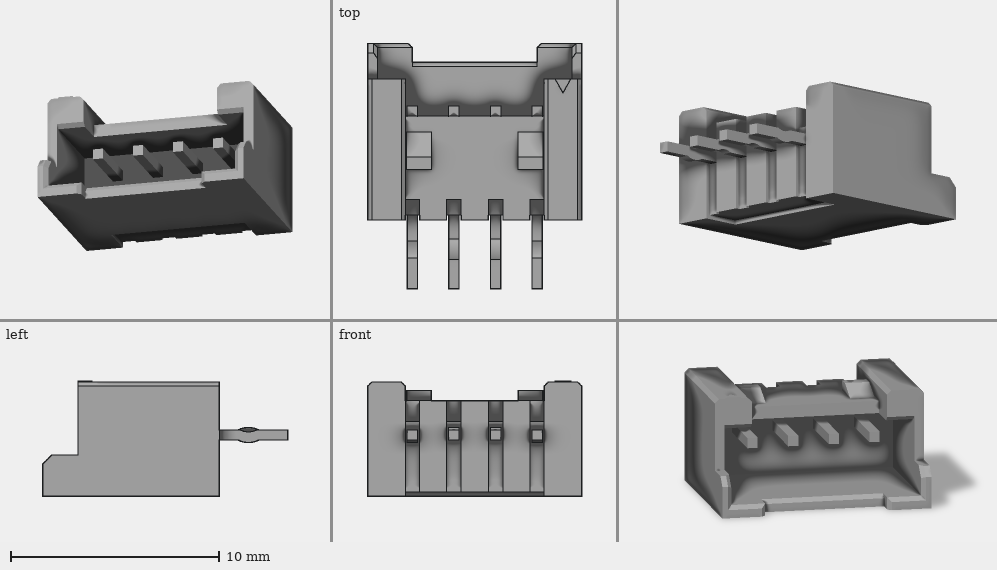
import cadquery as cq


width = 10.3
depth = 8.5
height = 5.5
wing_depth = 6.8
wing_inner_x = 3.33
body_height = 4.6
body_depth = 5.0
lip_height = 2.0
lip_bevel = 0.45
edge_chamfer = 0.2

cavity_half_width = 4.67
cavity_floor = 0.6
cavity_ceiling = 4.0
back_wall = 2.0
bottom_relief = 0.2

recess_half_width = 3.0
recess_front_y = 7.6

pin_count = 4
pitch = 2.0
pin_size = 0.5
pin_z = 2.95
pin_tip_y = 5.5
pin_tail_y = -3.3
kink_y = -1.4
convex_length = 0.98
convex_rise = 0.12
concave_length = 0.82
concave_depth = 0.1
notch_width = 0.7
notch_depth = 0.25
upper_notch_depth = 1.0
notch_ledge_z = 3.6

ramp_width = 1.2
ramp_outer_x = 3.28
ramp_height = 0.5
ramp_rear_y = 2.45
ramp_crest_y = 3.05
ramp_front_y = 4.25

mark_width = 0.76
mark_length = 0.68
mark_height = 0.05

half_width = width / 2
pin_positions = [(i - (pin_count - 1) / 2) * pitch for i in range(pin_count)]


def block(x_range, y_range, z_range):
    """Box spanning the given (low, high) ranges."""
    size = [high - low for low, high in (x_range, y_range, z_range)]
    corner = (x_range[0], y_range[0], z_range[0])
    return cq.Workplane("XY").box(*size, centered=False).translate(corner)


def yz_prism(points, x_low, x_high):
    """Prism with a (y, z) polygon as its section, spanning x_low to x_high."""
    section = cq.Workplane("YZ", origin=(x_low, 0, 0)).polyline(points).close()
    return section.extrude(x_high - x_low)


def make_wing(side):
    """Solid side wing, beveled along its top, with its low front wall; side is -1 or 1."""
    x_range = sorted((side * wing_inner_x, side * half_width))
    wing = block(x_range, (0, wing_depth), (0, height))
    wing = wing.faces(">Z").edges("|Y").chamfer(edge_chamfer)
    lip = yz_prism(
        [
            (0, 0),
            (depth, 0),
            (depth, lip_height - lip_bevel),
            (depth - lip_bevel, lip_height),
            (0, lip_height),
        ],
        *x_range,
    )
    return wing.union(lip)


def make_body():
    """Central block with the rear notches, standing clear of the bottom plane."""
    x_range = (-wing_inner_x, wing_inner_x)
    body = block(x_range, (0, body_depth), (bottom_relief, body_height))
    for x in pin_positions:
        notch_x = (x - notch_width / 2, x + notch_width / 2)
        body = body.cut(block(notch_x, (0, notch_depth), (0, body_height)))
        body = body.cut(block(notch_x, (0, upper_notch_depth), (notch_ledge_z, body_height)))
    floor = block(x_range, (back_wall, depth), (0, cavity_floor))
    return body.union(floor)


def cut_cavity(housing):
    """Open the mating cavity toward +Y and bevel the wing ceilings at its mouth."""
    x_range = (-cavity_half_width, cavity_half_width)
    housing = housing.cut(block(x_range, (back_wall, depth), (cavity_floor, cavity_ceiling)))
    ceiling_bevel = yz_prism(
        [
            (wing_depth, cavity_ceiling),
            (wing_depth, cavity_ceiling + edge_chamfer),
            (wing_depth - edge_chamfer, cavity_ceiling),
        ],
        *x_range,
    )
    return housing.cut(ceiling_bevel)


def cut_front_recess(housing):
    """Set back the middle of the floor and bevel the corners of the recess."""
    recess = block((-recess_half_width, recess_half_width), (recess_front_y, depth), (0, cavity_floor))
    housing = housing.cut(recess)
    near = edge_chamfer / 2
    for x in (-recess_half_width, recess_half_width):
        corner = cq.selectors.BoxSelector(
            (x - near, depth - near, 0), (x + near, depth + near, cavity_floor)
        )
        housing = housing.edges("|Z").edges(corner).chamfer(edge_chamfer)
    return housing


def bevel_mouth(housing):
    """Bevel the floor edges and the inner edges of the low walls at the mouth."""
    near = edge_chamfer / 2
    floor_edges = cq.selectors.BoxSelector(
        (-cavity_half_width, recess_front_y - near, cavity_floor - near),
        (cavity_half_width, depth + near, cavity_floor + near),
    )
    edges = housing.edges("|X").edges(floor_edges).vals()
    for x in (-cavity_half_width, cavity_half_width):
        wall_edges = cq.selectors.BoxSelector(
            (x - near, depth - lip_bevel, cavity_floor + near),
            (x + near, depth + near, lip_height - near),
        )
        edges += housing.edges(wall_edges).vals()
    return housing.newObject(edges).chamfer(edge_chamfer)


def make_ramp(side):
    """Latch ramp rising from the front to a flat crest; side is -1 or 1."""
    x_low, x_high = sorted((side * ramp_outer_x, side * (ramp_outer_x - ramp_width)))
    crest_z = body_height + ramp_height
    return yz_prism(
        [
            (ramp_rear_y, body_height),
            (ramp_rear_y, crest_z),
            (ramp_crest_y, crest_z),
            (ramp_front_y, body_height),
        ],
        x_low,
        x_high,
    )


def make_pin_mark():
    """Raised triangle at the front of the +X wing, pointing to the rear."""
    x = (wing_inner_x + half_width) / 2
    triangle = cq.Workplane("XY", origin=(x, wing_depth, height)).polyline(
        [(-mark_width / 2, 0), (mark_width / 2, 0), (0, -mark_length)]
    )
    return triangle.close().extrude(mark_height)


def make_pin(x, bend):
    """Square pin with a retention kink in its tail: bend is 1 for upward, -1 for downward."""
    half = pin_size / 2
    outer = half + convex_rise
    inner = half - concave_depth
    pin = (
        cq.Workplane("YZ", origin=(x - half, 0, 0))
        .moveTo(pin_tail_y, pin_z + bend * half)
        .lineTo(kink_y - convex_length / 2, pin_z + bend * half)
        .threePointArc((kink_y, pin_z + bend * outer), (kink_y + convex_length / 2, pin_z + bend * half))
        .lineTo(pin_tip_y, pin_z + bend * half)
        .lineTo(pin_tip_y, pin_z - bend * half)
        .lineTo(kink_y + concave_length / 2, pin_z - bend * half)
        .threePointArc((kink_y, pin_z - bend * inner), (kink_y - concave_length / 2, pin_z - bend * half))
        .lineTo(pin_tail_y, pin_z - bend * half)
        .close()
    )
    return pin.extrude(pin_size)


housing = make_body().union(make_wing(-1)).union(make_wing(1))
housing = cut_cavity(housing)
housing = cut_front_recess(housing)
housing = bevel_mouth(housing)
housing = housing.union(make_ramp(-1)).union(make_ramp(1)).union(make_pin_mark())

result = housing
for pin_x in pin_positions:
    is_end_pin = pin_x in (pin_positions[0], pin_positions[-1])
    result = result.union(make_pin(pin_x, -1 if is_end_pin else 1))